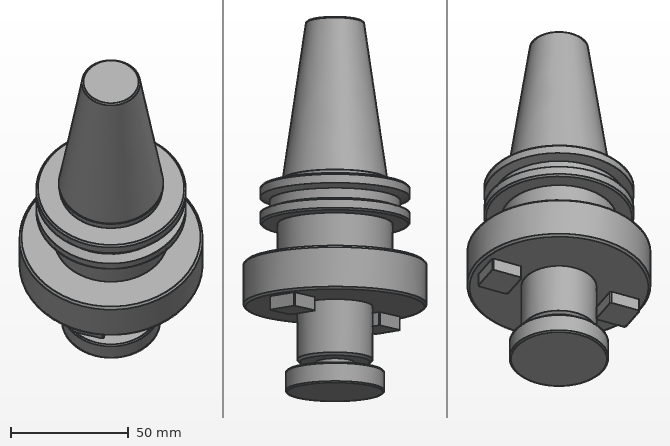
import cadquery as cq

total_height = 160.4
screw_head_top = 9.0
pilot_bottom = 13.0
collar_bottom = 37.0
collar_top = 56.0
flange_bottom = 72.8
flange_top = 88.9
taper_base = 92.0

screw_head_diameter = 42.0
screw_neck_diameter = 16.0
pilot_diameter = 32.0
collar_diameter = 78.0
body_diameter = 49.0
flange_diameter = 63.7
groove_diameter = 55.7
relief_diameter = 43.8
taper_base_diameter = 44.6
taper_slope = 7 / 24

groove_middle = 80.8
groove_floor_width = 4.2
groove_mouth_width = 7.0

screw_head_chamfer = 0.6
pilot_chamfer = 1.1
collar_chamfer = 1.0
flange_chamfer = 0.8
taper_tip_chamfer = 0.6

tenon_size = 14.0
tenon_height = 5.8
tenon_outer_edge = 35.0
tenon_chamfer = 0.5


def disc(diameter, bottom, top):
    """Cylinder on the Z axis between two heights."""
    return cq.Workplane("XY").workplane(offset=bottom).circle(diameter / 2).extrude(top - bottom)


def taper():
    """Steep 7/24 cone narrowing to a chamfered tip."""
    height = total_height - taper_base
    tip_diameter = taper_base_diameter - taper_slope * height
    cone = (
        cq.Workplane("XY")
        .workplane(offset=taper_base)
        .circle(taper_base_diameter / 2)
        .workplane(offset=height)
        .circle(tip_diameter / 2)
        .loft(ruled=True)
    )
    return cone.faces(">Z").chamfer(taper_tip_chamfer)


def groove():
    """Ring with sloping flanks that cuts the gripper groove into the flange."""
    floor_radius = groove_diameter / 2
    mouth_radius = flange_diameter / 2
    return (
        cq.Workplane("XZ")
        .moveTo(floor_radius, groove_middle - groove_floor_width / 2)
        .lineTo(mouth_radius, groove_middle - groove_mouth_width / 2)
        .lineTo(mouth_radius, groove_middle + groove_mouth_width / 2)
        .lineTo(floor_radius, groove_middle + groove_floor_width / 2)
        .close()
        .revolve(360, (0, 0, 0), (0, 1, 0))
    )


def flange():
    """Grooved gripper flange with chamfered rims."""
    blank = disc(flange_diameter, flange_bottom, flange_top).edges().chamfer(flange_chamfer)
    return blank.cut(groove())


def tenon(side):
    """Square driving block below the collar, on the +Y (1) or -Y (-1) side."""
    centre = side * (tenon_outer_edge - tenon_size / 2)
    return (
        cq.Workplane("XY")
        .workplane(offset=collar_bottom - tenon_height)
        .center(0, centre)
        .rect(tenon_size, tenon_size)
        .extrude(tenon_height)
        .edges("|Z")
        .chamfer(tenon_chamfer)
    )


screw_head = disc(screw_head_diameter, 0, screw_head_top).edges().chamfer(screw_head_chamfer)
screw_neck = disc(screw_neck_diameter, screw_head_top, pilot_bottom)
pilot = disc(pilot_diameter, pilot_bottom, collar_bottom).faces("<Z").chamfer(pilot_chamfer)
collar = disc(collar_diameter, collar_bottom, collar_top).edges().chamfer(collar_chamfer)
body = disc(body_diameter, collar_top, flange_bottom)
relief = disc(relief_diameter, flange_top, taper_base)

result = screw_head
for section in (screw_neck, pilot, collar, body, flange(), relief, taper()):
    result = result.union(section)
for side in (1, -1):
    result = result.union(tenon(side))